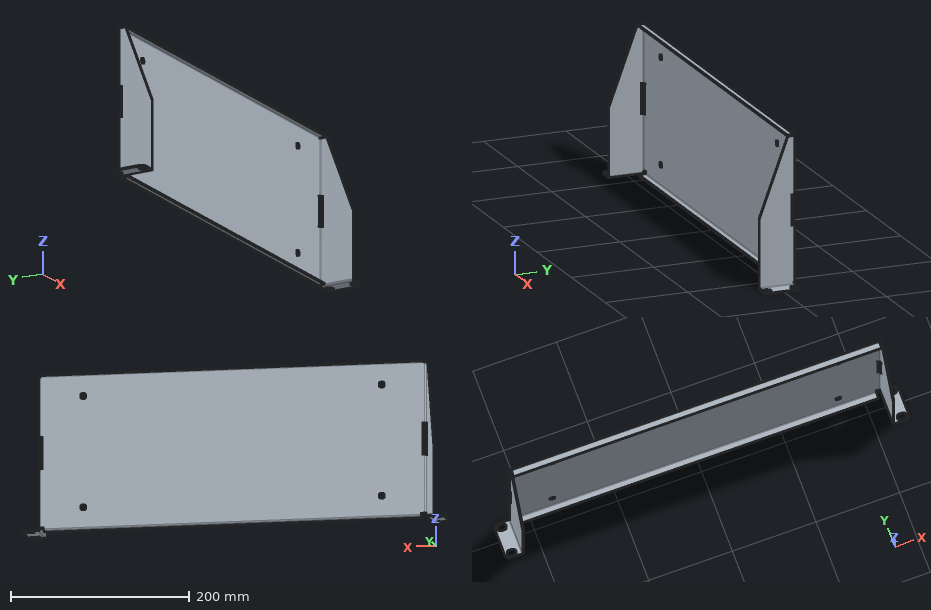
import cadquery as cq
import math

total_width = 483.0
depth = 43.5
height = 178.0

sheet = 1.5
inner_radius = 0.72
outer_radius = inner_radius + sheet

tray_width = 444.5
flange_depth = 9.0
bottom_flange_end_gap = 6.0
wall_top_gap = 1.5
wall_top_depth = 9.0
wall_slope_start = 84.0
wall_bend_start = 4.0

hole_diameter = 6.5
hole_spacing_x = 342.0
hole_spacing_z = 127.0

window_reach = 4.5
window_height = 36.0

ear_setback = 0.72
ear_corner_radius = 5.0
ear_slot_length = 10.5
ear_slot_width = 7.2
ear_slot_spacing_x = 466.5
ear_slot_spacing_y = 32.0
ear_slot_middle_y = -22.0

half_tray = tray_width / 2
half_total = total_width / 2
middle_z = height / 2


def bent_strip(plane, corner, direction_a, direction_b):
    """Sketch an L of sheet metal whose sharp outer corner is at `corner`.

    Each direction is the signed length of a leg along one axis of the plane.
    """
    u, v = corner
    su = math.copysign(1, direction_a)
    sv = math.copysign(1, direction_b)
    mid_outer = outer_radius * (1 - math.sqrt(0.5))
    mid_inner = outer_radius - inner_radius * math.sqrt(0.5)
    return (
        cq.Workplane(plane)
        .moveTo(u + direction_a, v)
        .lineTo(u + su * outer_radius, v)
        .threePointArc((u + su * mid_outer, v + sv * mid_outer), (u, v + sv * outer_radius))
        .lineTo(u, v + direction_b)
        .lineTo(u + su * sheet, v + direction_b)
        .lineTo(u + su * sheet, v + sv * outer_radius)
        .threePointArc((u + su * mid_inner, v + sv * mid_inner), (u + su * outer_radius, v + sv * sheet))
        .lineTo(u + direction_a, v + sv * sheet)
        .close()
    )


def back_with_flanges():
    """Back panel with forward flanges; the panel and top flange end where the wall bends begin."""
    top_half = half_tray - outer_radius
    bottom_half = half_tray - bottom_flange_end_gap
    top = bent_strip("YZ", (0, height), -flange_depth, -middle_z).extrude(top_half, both=True)
    bottom = bent_strip("YZ", (0, 0), -flange_depth, middle_z).extrude(bottom_half, both=True)
    return top.union(bottom)


def left_wall():
    """Left side wall, bent forward from the back panel, with a sloping front edge."""
    strip = bent_strip("XY", (-half_tray, 0), half_tray, -depth).extrude(height)
    outline = (
        cq.Workplane("YZ")
        .polyline([
            (0, wall_bend_start),
            (-ear_setback, wall_bend_start),
            (-ear_setback, outer_radius),
            (-depth, outer_radius),
            (-depth, wall_slope_start),
            (-wall_top_depth, height - wall_top_gap),
            (-outer_radius, height - wall_top_gap),
            (0, height - outer_radius),
        ])
        .close()
        .extrude(half_tray, both=True)
    )
    return strip.intersect(outline)


def left_ear():
    """Rack ear with two slots, bent outward; its upright leg overlaps the wall by one sheet thickness."""
    corner_x = -half_tray + sheet
    ear = (
        bent_strip("XZ", (corner_x, 0), -(half_total + corner_x), outer_radius + sheet)
        .extrude(depth - ear_setback)
        .translate((0, -ear_setback, 0))
        .edges("|Z and <X")
        .fillet(ear_corner_radius)
    )
    slots = (
        cq.Workplane("XY")
        .center(-ear_slot_spacing_x / 2, ear_slot_middle_y)
        .rarray(5, ear_slot_spacing_y, 1, 2)
        .slot2D(ear_slot_length, ear_slot_width)
        .extrude(sheet)
    )
    return ear.cut(slots)


def panel_holes():
    """Four round mounting holes through the back panel."""
    return (
        cq.Workplane("XZ")
        .center(0, middle_z)
        .rarray(hole_spacing_x, hole_spacing_z, 2, 2)
        .circle(hole_diameter / 2)
        .extrude(sheet)
    )


def left_window():
    """Window through the bend between the back panel and the left wall."""
    return cq.Workplane("XY").box(2 * window_reach, 2 * window_reach, window_height).translate(
        (-half_tray, 0, middle_z)
    )


left_side = left_wall().union(left_ear())
window = left_window()

result = (
    back_with_flanges()
    .union(left_side)
    .union(left_side.mirror("YZ"))
    .cut(panel_holes())
    .cut(window)
    .cut(window.mirror("YZ"))
)